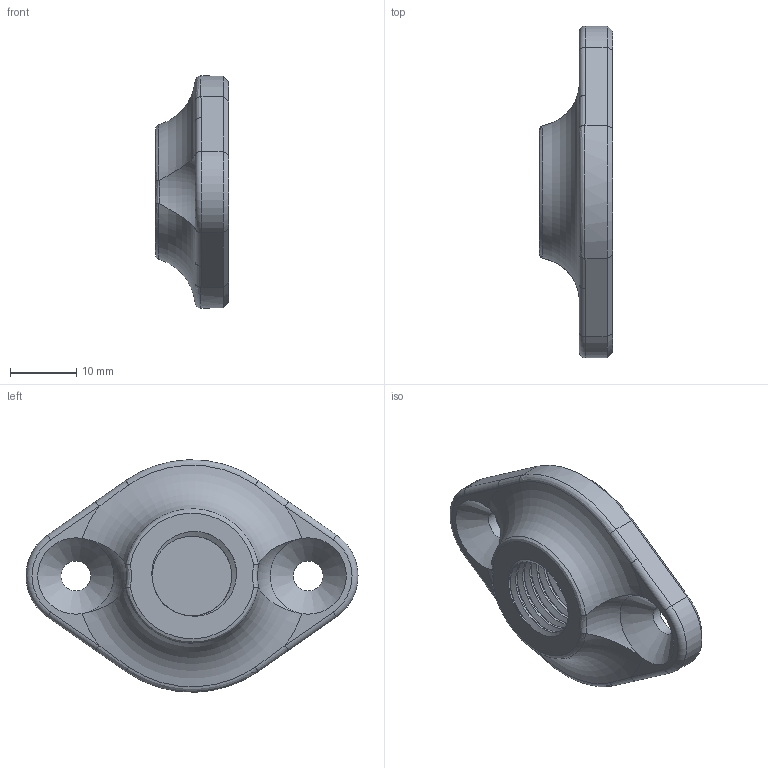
import cadquery as cq
import math

plate_thickness = 5.0
centre_radius = 17.5
ear_radius = 7.5
ear_offset = 17.5
front_edge_fillet = 0.9
back_edge_chamfer = 0.8

boss_height = 6.0
flare_radius = 7.7
flare_foot_radius = 17.5
boss_edge_fillet = 0.7

screw_hole_diameter = 4.5
countersink_diameter = 11.5
countersink_half_angle = math.radians(45)
relief_radius_at_boss_face = 7.7

bore_diameter = 12.0
thread_diameter = 13.6
thread_pitch = 1.5
thread_root_width = thread_pitch / 6
thread_flank_angle = math.radians(30)
thread_start_turn = 1 / 8
thread_overlap = 0.1
bore_depth = 9.0

plate_front_x = -plate_thickness
boss_face_x = plate_front_x - boss_height
X_AXIS = cq.Vector(1, 0, 0)


def revolve_about_x(profile, y_centre=0.0):
    """Turn an XY profile (X along the axis, Y as radius) about a line parallel to X."""
    return profile.close().revolve(360, (0, 0, 0), (1, 0, 0)).translate((0, y_centre, 0))


def make_plate():
    """Central disc and two ear discs joined by their common tangents."""
    tangent_cos = (centre_radius - ear_radius) / ear_offset
    tangent_sin = math.sqrt(1 - tangent_cos**2)
    centre_y = centre_radius * tangent_cos
    centre_z = centre_radius * tangent_sin
    ear_y = ear_offset + ear_radius * tangent_cos
    ear_z = ear_radius * tangent_sin
    ear_tip = ear_offset + ear_radius
    plate = (
        cq.Workplane("YZ")
        .moveTo(-centre_y, centre_z)
        .threePointArc((0, centre_radius), (centre_y, centre_z))
        .lineTo(ear_y, ear_z)
        .threePointArc((ear_tip, 0), (ear_y, -ear_z))
        .lineTo(centre_y, -centre_z)
        .threePointArc((0, -centre_radius), (-centre_y, -centre_z))
        .lineTo(-ear_y, -ear_z)
        .threePointArc((-ear_tip, 0), (-ear_y, ear_z))
        .close()
        .extrude(-plate_thickness)
    )
    return plate.faces(">X").edges().chamfer(back_edge_chamfer)


def flare_point(height):
    """Point of the flare arc at a height above the plate's front face."""
    reach = math.sqrt(flare_radius**2 - (flare_radius - height) ** 2)
    return (plate_front_x - height, flare_foot_radius - reach)


def make_boss():
    """Turned boss whose side is the concave flare."""
    profile = (
        cq.Workplane("XY")
        .moveTo(plate_front_x, 0)
        .lineTo(*flare_point(0))
        .threePointArc(flare_point(boss_height / 3), flare_point(boss_height))
        .lineTo(boss_face_x, 0)
    )
    return revolve_about_x(profile)


def make_screw_cutter(y_centre):
    """Through hole, conical countersink and arc-sided relief above it, as one turned cutter."""
    hole_radius = screw_hole_diameter / 2
    mouth_radius = countersink_diameter / 2
    cone_depth = (mouth_radius - hole_radius) / math.tan(countersink_half_angle)
    widening = relief_radius_at_boss_face - mouth_radius
    arc_radius = (boss_height**2 + widening**2) / (2 * widening)
    half_height = boss_height / 2
    arc_middle = (
        boss_face_x + half_height,
        relief_radius_at_boss_face - arc_radius + math.sqrt(arc_radius**2 - half_height**2),
    )
    profile = (
        cq.Workplane("XY")
        .lineTo(0, hole_radius)
        .lineTo(plate_front_x + cone_depth, hole_radius)
        .lineTo(plate_front_x, mouth_radius)
        .threePointArc(arc_middle, (boss_face_x, relief_radius_at_boss_face))
        .lineTo(boss_face_x, 0)
    )
    return revolve_about_x(profile, y_centre)


def make_thread_groove():
    """Flat-rooted V groove on a helix around the bore, trimmed to the bore's depth."""
    bore_radius = bore_diameter / 2
    groove_depth = thread_diameter / 2 - bore_radius
    root_half_width = thread_root_width / 2
    mouth_half_width = root_half_width + (groove_depth + thread_overlap) * math.tan(thread_flank_angle)
    start_x = boss_face_x - (1 + thread_start_turn) * thread_pitch
    helix_length = bore_depth + 2 * thread_pitch
    helix = cq.Wire.makeHelix(thread_pitch, helix_length, bore_radius, cq.Vector(start_x, 0, 0), X_AXIS)
    groove = (
        cq.Workplane("XZ")
        .moveTo(start_x - mouth_half_width, bore_radius - thread_overlap)
        .lineTo(start_x - root_half_width, thread_diameter / 2)
        .lineTo(start_x + root_half_width, thread_diameter / 2)
        .lineTo(start_x + mouth_half_width, bore_radius - thread_overlap)
        .close()
        .sweep(cq.Workplane(helix), isFrenet=True)
    )
    envelope = cq.Workplane("YZ").workplane(offset=boss_face_x).circle(thread_diameter).extrude(bore_depth)
    return groove.intersect(envelope)


def make_bore():
    """Plain blind bore at the thread's minor diameter."""
    return cq.Workplane("YZ").workplane(offset=boss_face_x).circle(bore_diameter / 2).extrude(bore_depth)


def round_plate_rim(body):
    """Round the plate's front edge; the fillet follows the tangent outline all the way round."""
    rim_point = (plate_front_x, ear_offset + ear_radius, 0)
    return body.edges(cq.NearestToPointSelector(rim_point)).fillet(front_edge_fillet)


body = round_plate_rim(make_plate().union(make_boss()))
for side in (-1, 1):
    body = body.cut(make_screw_cutter(side * ear_offset))
body = body.faces("<X").edges().fillet(boss_edge_fillet)
result = body.cut(make_bore()).cut(make_thread_groove())